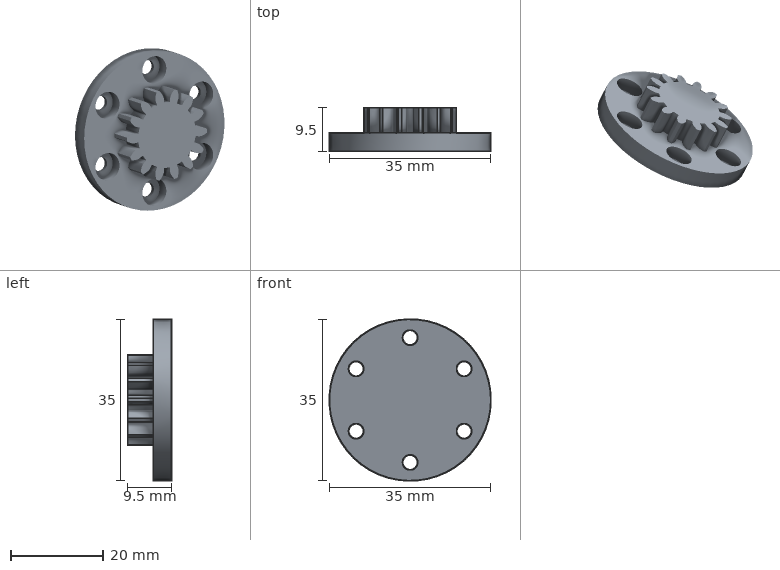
import cadquery as cq
import math

disc_diameter = 35
disc_thickness = 4.0
overall_depth = 9.5

hole_count = 6
hole_diameter = 3.2
hole_circle_diameter = 27.0
first_hole_angle = 90
counterbore_diameter = 6.0
counterbore_floor = 1.0
counterbore_depth = disc_thickness - counterbore_floor

tooth_count = 14
gear_outside_diameter = 20.0
pressure_angle = math.radians(20)
dedendum_factor = 1.25
root_fillet = 0.158
flank_steps = 6

gear_length = overall_depth - disc_thickness
gear_module = gear_outside_diameter / (tooth_count + 2)
pitch_radius = gear_module * tooth_count / 2
tip_radius = gear_outside_diameter / 2
root_radius = pitch_radius - dedendum_factor * gear_module
base_radius = pitch_radius * math.cos(pressure_angle)


def involute(angle):
    return math.tan(angle) - angle


def polar(radius, angle):
    return (radius * math.cos(angle), radius * math.sin(angle))


tooth_pitch = 2 * math.pi / tooth_count
base_half_angle = tooth_pitch / 4 + involute(pressure_angle)
tip_roll = math.sqrt((tip_radius / base_radius) ** 2 - 1)


def make_disc():
    back_face = cq.Workplane("XZ", origin=(0, disc_thickness, 0))
    disc = back_face.circle(disc_diameter / 2).extrude(disc_thickness)
    hole_places = back_face.polarArray(hole_circle_diameter / 2, first_hole_angle, 360, hole_count)
    holes = hole_places.circle(hole_diameter / 2).extrude(disc_thickness)
    counterbores = hole_places.circle(counterbore_diameter / 2).extrude(counterbore_depth)
    return disc.cut(holes).cut(counterbores)


def flank_points(centre, side):
    """Involute from the base circle to the tip, on one side (-1 or +1) of a tooth."""
    points = []
    for step in range(flank_steps + 1):
        roll = tip_roll * step / flank_steps
        radius = base_radius * math.sqrt(1 + roll**2)
        half_angle = base_half_angle - involute(math.atan(roll))
        points.append(polar(radius, centre + side * half_angle))
    return points


def make_gear():
    fillet_centre_radius = root_radius + root_fillet
    fillet_top_radius = math.sqrt(fillet_centre_radius**2 - root_fillet**2)
    root_half_angle = base_half_angle + math.asin(root_fillet / fillet_centre_radius)

    profile = cq.Workplane("XZ", origin=(0, disc_thickness, 0))
    profile = profile.moveTo(*polar(root_radius, -root_half_angle))
    for tooth in range(tooth_count):
        centre = tooth * tooth_pitch
        next_gap = centre + tooth_pitch / 2
        next_root = centre + tooth_pitch - root_half_angle
        rising = flank_points(centre, -1)
        rising_tangents = [polar(1, centre - base_half_angle + roll) for roll in (0, tip_roll)]
        falling_tangents = [polar(-1, centre + base_half_angle - roll) for roll in (tip_roll, 0)]
        falling = flank_points(centre, 1)[::-1]
        profile = (
            profile
            .radiusArc(polar(fillet_top_radius, centre - base_half_angle), root_fillet)
            .lineTo(*rising[0])
            .spline(rising[1:], tangents=rising_tangents, includeCurrent=True)
            .threePointArc(polar(tip_radius, centre), falling[0])
            .spline(falling[1:], tangents=falling_tangents, includeCurrent=True)
            .lineTo(*polar(fillet_top_radius, centre + base_half_angle))
            .radiusArc(polar(root_radius, centre + root_half_angle), root_fillet)
            .threePointArc(polar(root_radius, next_gap), polar(root_radius, next_root))
        )
    return profile.close().extrude(-gear_length)


result = make_disc().union(make_gear())